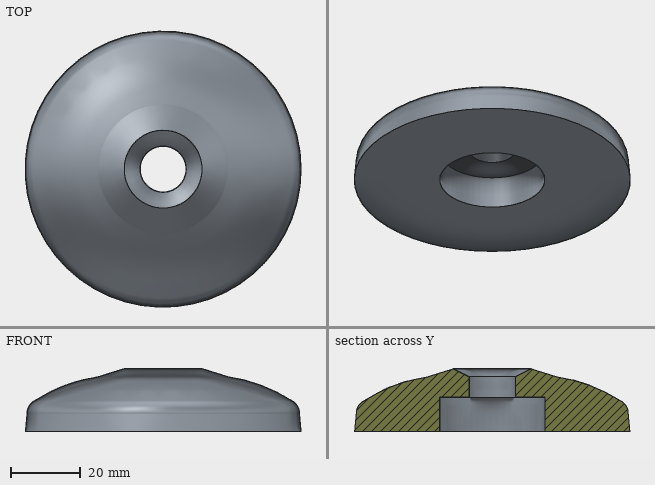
import cadquery as cq

base_radius = 39.5
rim_top_radius = 39.0
rim_top_height = 5.0

shoulder_radius = 36.65
shoulder_height = 8.9
shoulder_bulge_radius = 38.3
shoulder_bulge_height = 7.5

dome_radius = 18.5
dome_height = 15.7
dome_bulge_radius = 28.0
dome_bulge_height = 13.3

total_height = 18.0
countersink_radius = 11.1
hole_radius = 6.55
countersink_depth = 2.3

counterbore_radius = 30.0 / 2
counterbore_depth = 9.8

half_section = (
    cq.Workplane("XZ")
    .moveTo(hole_radius, counterbore_depth)
    .lineTo(counterbore_radius, counterbore_depth)
    .lineTo(counterbore_radius, 0)
    .lineTo(base_radius, 0)
    .lineTo(rim_top_radius, rim_top_height)
    .threePointArc((shoulder_bulge_radius, shoulder_bulge_height), (shoulder_radius, shoulder_height))
    .threePointArc((dome_bulge_radius, dome_bulge_height), (dome_radius, dome_height))
    .lineTo(countersink_radius, total_height)
    .lineTo(hole_radius, total_height - countersink_depth)
    .close()
)

result = half_section.revolve(360, (0, 0, 0), (0, 1, 0))